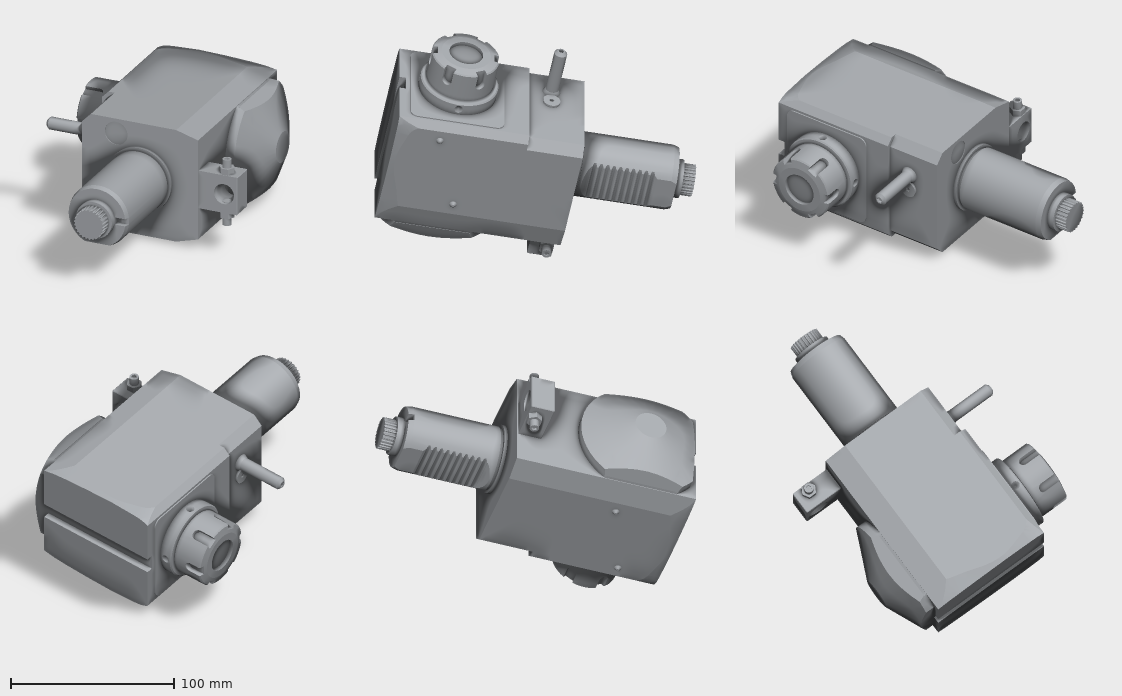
import cadquery as cq
import math


half_height = 37.5
rear_y = 115.7
step_y = 34.8
front_left_x = -39.2
rear_left_x = -41.6
front_chamfer = 6.0
rear_chamfer = 4.2
right_x = 39.0
taper_start_x = 24.3
taper_end_z = 33.2
taper_slope = (half_height - taper_end_z) / (right_x - taper_start_x)
notch_width = 10.5
notch_depth = 4.2

crown_drops = [
    (rear_left_x, rear_chamfer),
    (-37.5, 2.3),
    (-29.0, 1.26),
    (-15.3, 0.61),
    (1.0, 0.85),
    (13.0, 1.55),
    (taper_start_x, 2.1),
    (right_x, half_height - taper_end_z),
]
crown_slope = 0.18
crown_length = 28.6

spindle_y = 79.8
pad_x = -42.4
pad_size = (58.5, 63.2)
pad_corner = 5.0
collar_x = -50.5
collar_radius = 24.3
collar_edge = 0.8
collar_hole_diameter = 5.3
collar_hole_depth = 2.7
collar_hole_count = 4
nut_back_x = -51.0
nut_cone_x = -69.7
nut_face_x = -71.6
nut_radius = 21.0
nut_shoulder_radius = 20.2
nut_shoulder_x = -70.5
nut_face_radius = 15.3
nut_bore_radius = 10.5
nut_bore_depth = 2.7
neck_radius = 19.5
slot_count = 6
slot_width = 6.5
slot_end_x = -59.4
upper_slot_end_x = -57.3
slot_floor_radius = 17.5

flange_radius = 21.5
flange_y = -2.1
relief_radius = 19.3
relief_y = -3.8
shank_radius = 20.0
shank_taper_y = -59.8
shank_end_y = -63.2
shank_end_radius = 19.1
hub_radius = 12.0
hub_end_y = -67.6
spline_end_y = -75.3
spline_tip_radius = 10.0
spline_root_radius = 9.2
spline_tooth_count = 26
spline_root_end = 0.4
spline_tip_start = 0.55
spline_tip_end = 0.85
key_slot_width = 4.8
key_slot_depth = 3.5
key_pocket_end_x = 14.9
key_pocket_depth = 4.2
flat_z = -17.2
flat_start_y = -8.4
rack_start_y = -9.7
rack_end_y = -50.8
rack_tip_z = -16.2
rack_root_z = -14.7
rack_pitch = 4.0
rack_first_y = -11.7
rack_root_half = 0.5
rack_tip_half = 1.5
rack_groove_count = 10

cover_radius = 40.3
cover_rim_x = 45.0
cover_face_x = 59.2
cover_face_radius = 10.0
cover_neck_end_x = 40.7
cover_neck_step = 0.4
cover_rear_y = rear_y - notch_depth

block_end_x = 65.0
block_half_height = 12.6
block_front_y = 1.0
block_rear_y = 15.9
block_edge = 0.4
block_hole_x = 56.0
block_hole_radius = 6.7
screw_y = 5.5
screw_radius = 2.9
screw_end_z = 22.0
screw_start_z = 6.1
lock_nut_width = 8.4
lock_nut_end_z = 16.6
screw_socket = 3.0
screw_socket_depth = 1.5

pin_y = 20.6
pin_z = 16.0
pin_radius = 4.0
pin_tip_x = -71.6
pin_chamfer = 1.7
pin_base_radius = 5.5
pin_base_x = -41.8
pin_socket = 3.0
pin_socket_depth = 2.0
plug_z = 6.0
plug_radius = 5.3
plug_top_x = -40.7
plug_socket = 2.7
plug_socket_depth = 1.5
face_plug_x = -16.2
face_plug_z = 27.7
face_plug_radius = 7.6
face_plug_depth = 0.5

nipple_places = [(-30.4, 88.5), (16.8, 71.2)]
nipple_radius = 2.3
nipple_tip_radius = 0.8
nipple_height = 1.7

overlap = 2.0


def revolve_x(profile, y=0, z=0):
    """Solid of revolution about the line parallel to X through (y, z); profile is (x, radius)."""
    solid = cq.Workplane("XY").polyline(profile).close().revolve(360, (0, 0, 0), (1, 0, 0))
    return solid.translate((0, y, z))


def housing_section(left_x, chamfer, start_y, end_y):
    upper = [
        (left_x, half_height - chamfer),
        (left_x + chamfer, half_height),
        (taper_start_x, half_height),
        (right_x, taper_end_z),
    ]
    lower = [(x, -z) for x, z in reversed(upper)]
    outline = cq.Workplane("XZ", origin=(0, start_y, 0)).polyline(upper + lower).close()
    return outline.extrude(start_y - end_y)


def crown_cut():
    """Material above the arched rear slope, which rises towards the shank."""
    arch = [(x, half_height - drop) for x, drop in crown_drops]
    outline = (
        cq.Workplane("XZ", origin=(0, rear_y, 0))
        .moveTo(*arch[0])
        .spline(arch[1:], includeCurrent=True)
        .lineTo(right_x, half_height + overlap)
        .lineTo(rear_left_x, half_height + overlap)
        .close()
    )
    direction = cq.Vector(0, -crown_length, crown_length * crown_slope)
    return cq.Workplane(cq.Solid.extrudeLinear(outline.wire().val(), [], direction))


def make_housing():
    front = housing_section(front_left_x, front_chamfer, 0, step_y)
    rear = housing_section(rear_left_x, rear_chamfer, step_y, rear_y)
    crown = crown_cut()
    rear = rear.cut(crown).cut(crown.mirror("XY"))
    pad = (
        cq.Workplane("YZ", origin=(pad_x, spindle_y, 0))
        .rect(*pad_size)
        .extrude(overlap)
        .edges("|X")
        .fillet(pad_corner)
    )
    return front.union(rear).union(pad)


def taper_z(x):
    """Height of the sloping right-hand flank of the housing at x."""
    return half_height - (x - taper_start_x) * taper_slope


def make_cover():
    cover = revolve_x(
        [
            (right_x - overlap, 0),
            (right_x - overlap, cover_radius),
            (cover_rim_x, cover_radius),
            (cover_face_x, cover_face_radius),
            (cover_face_x, 0),
        ],
        spindle_y,
    )
    start_x = right_x - overlap
    upper = [
        (start_x, taper_z(start_x) - cover_neck_step),
        (cover_neck_end_x, taper_z(cover_neck_end_x) - cover_neck_step),
        (cover_neck_end_x, taper_z(cover_neck_end_x)),
        (cover_face_x, taper_z(cover_face_x)),
    ]
    lower = [(x, -z) for x, z in reversed(upper)]
    envelope = (
        cq.Workplane("XZ", origin=(0, cover_rear_y, 0))
        .polyline(upper + lower)
        .close()
        .extrude(cover_rear_y)
    )
    return cover.intersect(envelope)


def make_notch():
    length = cover_face_x - rear_left_x + 2 * overlap
    notch = cq.Workplane("XY").box(length, notch_depth, notch_width, centered=(False, False, True))
    return notch.translate((rear_left_x - overlap, rear_y - notch_depth, 0))


def make_collar():
    collar = revolve_x(
        [
            (rear_left_x, 0),
            (rear_left_x, collar_radius),
            (collar_x + collar_edge, collar_radius),
            (collar_x, collar_radius - collar_edge),
            (collar_x, 0),
        ]
    )
    hole_x = (collar_x + pad_x) / 2
    rim_z = collar_radius
    tip_z = collar_radius - collar_hole_depth
    hole = (
        cq.Workplane("XZ")
        .polyline(
            [
                (0, tip_z),
                (collar_hole_diameter / 2, rim_z),
                (collar_hole_diameter / 2, rim_z + overlap),
                (0, rim_z + overlap),
            ]
        )
        .close()
        .revolve(360, (0, 0, 0), (0, 1, 0))
        .translate((hole_x, 0, 0))
    )
    for index in range(collar_hole_count):
        collar = collar.cut(hole.rotate((0, 0, 0), (1, 0, 0), index * 360 / collar_hole_count))
    return collar.translate((0, spindle_y, 0))


def make_nut():
    nut = revolve_x(
        [
            (collar_x + overlap, 0),
            (collar_x + overlap, neck_radius),
            (nut_back_x, neck_radius),
            (nut_back_x, nut_radius),
            (nut_cone_x, nut_radius),
            (nut_shoulder_x, nut_shoulder_radius),
            (nut_face_x, nut_face_radius),
            (nut_face_x, nut_bore_radius),
            (nut_face_x + nut_bore_depth, nut_bore_radius),
            (nut_face_x + nut_bore_depth, 0),
        ]
    )
    for index in range(slot_count):
        angle = index * 360 / slot_count
        on_upper_half = angle > 180
        slot = nut_slot(upper_slot_end_x if on_upper_half else slot_end_x)
        nut = nut.cut(slot.rotate((0, 0, 0), (1, 0, 0), angle))
    return nut.translate((0, spindle_y, 0))


def nut_slot(end_x):
    """Spanner slot with a rounded end, on the -Y side of the spindle axis."""
    start_x = nut_face_x - overlap
    straight_end_x = end_x - slot_width / 2
    return (
        cq.Workplane("XZ", origin=(0, -slot_floor_radius, 0))
        .moveTo(start_x, -slot_width / 2)
        .lineTo(straight_end_x, -slot_width / 2)
        .threePointArc((end_x, 0), (straight_end_x, slot_width / 2))
        .lineTo(start_x, slot_width / 2)
        .close()
        .extrude(nut_radius)
    )


def make_shank():
    profile = [
        (0, overlap),
        (flange_radius, overlap),
        (flange_radius, flange_y),
        (relief_radius, flange_y),
        (relief_radius, relief_y),
        (shank_radius, relief_y),
        (shank_radius, shank_taper_y),
        (shank_end_radius, shank_end_y),
        (hub_radius, shank_end_y),
        (hub_radius, hub_end_y),
        (0, hub_end_y),
    ]
    shank = cq.Workplane("XY").polyline(profile).close().revolve(360, (0, 0, 0), (0, 1, 0))
    return shank.cut(rack_cut()).cut(key_slot())


def rack_cut():
    """Clamping flat on the underside with the row of rack grooves."""
    bottom_z = -shank_radius - overlap
    run_out = abs(bottom_z - flat_z)
    outline = [(flat_start_y + run_out, bottom_z), (flat_start_y, flat_z), (rack_start_y, rack_tip_z)]
    for index in range(rack_groove_count):
        groove_y = rack_first_y - index * rack_pitch
        outline += [
            (groove_y + rack_tip_half, rack_tip_z),
            (groove_y + rack_root_half, rack_root_z),
            (groove_y - rack_root_half, rack_root_z),
            (groove_y - rack_tip_half, rack_tip_z),
        ]
    outline += [(rack_end_y, flat_z), (shank_end_y, flat_z), (shank_end_y, bottom_z)]
    half_width = shank_radius + overlap
    return cq.Workplane("YZ").polyline(outline).close().extrude(half_width, both=True)


def key_slot():
    """Driver slot in the end of the shank, slightly deeper next to the hub."""
    slot = cq.Workplane("XY").box(
        shank_radius, key_slot_depth, key_slot_width, centered=(False, False, True)
    )
    pocket = cq.Workplane("XY").box(
        key_pocket_end_x - hub_radius, key_pocket_depth, key_slot_width, centered=(False, False, True)
    )
    return slot.union(pocket).translate((hub_radius, shank_end_y, 0))


def make_spline():
    pitch = 2 * math.pi / spline_tooth_count
    outline = []
    for index in range(spline_tooth_count):
        for radius, offset in (
            (spline_root_radius, 0.0),
            (spline_root_radius, spline_root_end),
            (spline_tip_radius, spline_tip_start),
            (spline_tip_radius, spline_tip_end),
        ):
            angle = (index + offset) * pitch
            outline.append((radius * math.cos(angle), radius * math.sin(angle)))
    start = cq.Workplane("XZ", origin=(0, hub_end_y + overlap, 0))
    return start.polyline(outline).close().extrude(hub_end_y + overlap - spline_end_y)


def hexagon(plane, origin, across_flats, depth):
    corner_diameter = across_flats / math.cos(math.pi / 6)
    return cq.Workplane(plane, origin=origin).polygon(6, corner_diameter).extrude(depth)


def make_clamp_block():
    length = block_end_x - right_x + overlap
    width = block_rear_y - block_front_y
    block = (
        cq.Workplane("XY")
        .box(length, width, 2 * block_half_height, centered=(False, False, True))
        .translate((right_x - overlap, block_front_y, 0))
        .edges(">X or (|X and >Y)")
        .chamfer(block_edge)
    )
    hole = (
        cq.Workplane("XZ", origin=(block_hole_x, block_rear_y, 0))
        .circle(block_hole_radius)
        .extrude(width)
    )
    block = block.cut(hole)
    screw = clamp_screw()
    return block.union(screw).union(screw.mirror("XY"))


def clamp_screw():
    screw = (
        cq.Workplane("XY", origin=(block_hole_x, screw_y, screw_start_z))
        .circle(screw_radius)
        .extrude(screw_end_z - screw_start_z)
    )
    nut_start_z = block_half_height - overlap
    nut_height = lock_nut_end_z - nut_start_z
    lock_nut = hexagon("XY", (block_hole_x, screw_y, nut_start_z), lock_nut_width, nut_height)
    socket_floor = (block_hole_x, screw_y, screw_end_z - screw_socket_depth)
    return screw.union(lock_nut).cut(hexagon("XY", socket_floor, screw_socket, screw_socket_depth))


def make_coolant_pin():
    root_x = front_left_x + overlap
    pin = revolve_x(
        [
            (root_x, 0),
            (root_x, pin_base_radius),
            (front_left_x, pin_base_radius),
            (pin_base_x, pin_radius),
            (pin_tip_x + pin_chamfer, pin_radius),
            (pin_tip_x, pin_radius - pin_chamfer),
            (pin_tip_x, 0),
        ],
        pin_y,
        pin_z,
    )
    return pin.cut(hexagon("YZ", (pin_tip_x, pin_y, pin_z), pin_socket, pin_socket_depth))


def make_screw_plug():
    plug = (
        cq.Workplane("YZ", origin=(plug_top_x, pin_y, plug_z))
        .circle(plug_radius)
        .extrude(front_left_x + overlap - plug_top_x)
    )
    return plug.cut(hexagon("YZ", (plug_top_x, pin_y, plug_z), plug_socket, plug_socket_depth))


def face_plug_recess():
    recess = cq.Workplane("XZ", origin=(face_plug_x, face_plug_depth, face_plug_z))
    return recess.circle(face_plug_radius).extrude(face_plug_depth)


def make_nipple(x, y):
    profile = [
        (0, overlap),
        (nipple_radius, overlap),
        (nipple_radius, 0),
        (nipple_tip_radius, -nipple_height),
        (0, -nipple_height),
    ]
    nipple = cq.Workplane("XZ").polyline(profile).close().revolve(360, (0, 0, 0), (0, 1, 0))
    return nipple.translate((x, y, -half_height))


result = make_housing().union(make_cover()).cut(make_notch()).cut(face_plug_recess())
result = result.union(make_collar()).union(make_nut())
result = result.union(make_shank()).union(make_spline())
result = result.union(make_clamp_block())
result = result.union(make_coolant_pin()).union(make_screw_plug())
for nipple_x, nipple_y in nipple_places:
    result = result.union(make_nipple(nipple_x, nipple_y))